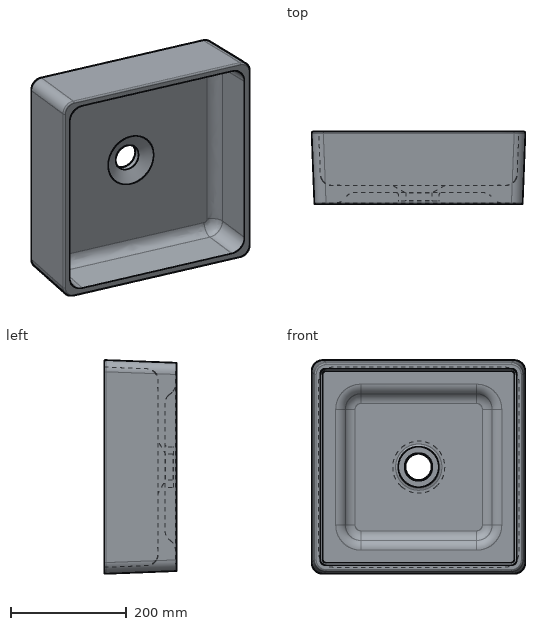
import cadquery as cq
import math


RIM_SIZE = 370.0
HEIGHT = 126.0
BASE_SIZE = 360.25
CORNER_RADIUS = 20.0
EDGE_RADIUS = 3.0

FOOT_INNER_SIZE = 340.0
FOOT_INNER_RADIUS = 10.0
BASE_RECESS_DEPTH = 3.0
BASE_RECESS_BEVEL = 4.5

FLOOR_SIZE = 220.0
FLOOR_CORNER_RADIUS = 10.0
FLOOR_Y = 21.0
WALL_RUN = 33.5

BOSS_RADIUS = 35.0
BOSS_FILLET = 5.0
BOSS_FACE_Y = 6.0
DRAIN_RADIUS = 22.5
DRAIN_CHAMFER = 1.5
DRAIN_END_Y = 20.0

SHELL_THICKNESS = 12.0
BOWL_CORNER_RADIUS = 25.0
BOWL_FLOOR_FILLET = 20.0
DRAIN_SEAT_SLOPE = 30.0

DRAFT_SLOPE = (RIM_SIZE - BASE_SIZE) / 2 / HEIGHT
BOWL_FLOOR_Y = FLOOR_Y + SHELL_THICKNESS


def plane_at(y):
    """Plane across the basin at height y, with its normal along +Y."""
    return cq.Workplane("XZ", origin=(0, y, 0)).transformed(rotate=(180, 0, 0))


def drafted_block(rim_size, bottom_y, corner_radius):
    """Square block from bottom_y up to the rim, narrowing downwards by the draft."""
    bottom_size = rim_size - 2 * (HEIGHT - bottom_y) * DRAFT_SLOPE
    block = (
        plane_at(bottom_y)
        .rect(bottom_size, bottom_size)
        .workplane(offset=HEIGHT - bottom_y)
        .rect(rim_size, rim_size)
        .loft(ruled=True)
    )
    return block.edges("not(#Y)").fillet(corner_radius)


def outer_body():
    """Drafted square body with rounded corners and rounded rim and foot edges."""
    block = drafted_block(RIM_SIZE, 0, CORNER_RADIUS)
    return block.faces("<Y or >Y").edges().fillet(EDGE_RADIUS)


def rounded_square(size, radius):
    """Flat square outline with rounded corners."""
    return cq.Sketch().rect(size, size).vertices().fillet(radius)


def base_recess():
    """Bevelled pocket that leaves the foot ring standing."""
    mouth = rounded_square(FOOT_INNER_SIZE, FOOT_INNER_RADIUS)
    end_size = FOOT_INNER_SIZE - 2 * BASE_RECESS_BEVEL
    end = rounded_square(end_size, FOOT_INNER_RADIUS - BASE_RECESS_BEVEL)
    end = end.moved(cq.Location(cq.Vector(0, 0, BASE_RECESS_DEPTH)))
    return plane_at(0).placeSketch(mouth, end).loft()


def recess_wall_section():
    """Section of the deep recess in XY, measured outwards from the centre of a rounded corner."""
    half_run = WALL_RUN / 2
    half_depth = (FLOOR_Y - BASE_RECESS_DEPTH) / 2
    arc_radius = (half_run**2 + half_depth**2) / (2 * half_depth)
    half_sweep = math.atan2(half_depth, half_run)
    arc_x = arc_radius * math.sin(half_sweep)
    arc_y = arc_radius * (1 - math.cos(half_sweep))
    inner = FLOOR_CORNER_RADIUS
    outer = inner + WALL_RUN
    middle = (inner + half_run, FLOOR_Y - half_depth)
    return (
        cq.Workplane("XY")
        .moveTo(0, BASE_RECESS_DEPTH)
        .lineTo(outer, BASE_RECESS_DEPTH)
        .threePointArc((outer - arc_x, BASE_RECESS_DEPTH + arc_y), middle)
        .threePointArc((inner + arc_x, FLOOR_Y - arc_y), (inner, FLOOR_Y))
        .lineTo(0, FLOOR_Y)
        .close()
    )


def deep_recess():
    """Square pocket: a central block, four S-shaped walls and four revolved corners."""
    core = FLOOR_SIZE / 2 - FLOOR_CORNER_RADIUS
    wall = recess_wall_section().extrude(core, both=True).translate((core, 0, 0))
    corner = recess_wall_section().revolve(90, (0, 0, 0), (0, 1, 0)).translate((core, 0, -core))
    recess = plane_at(BASE_RECESS_DEPTH).rect(2 * core, 2 * core).extrude(FLOOR_Y - BASE_RECESS_DEPTH)
    for turn in range(4):
        for piece in (wall, corner):
            recess = recess.union(piece.rotate((0, 0, 0), (0, 1, 0), 90 * turn))
    return recess.clean()


def drain_boss():
    """Boss standing down from the recess floor, with a concave fillet at its foot."""
    foot_radius = BOSS_RADIUS + BOSS_FILLET
    bend = BOSS_FILLET * math.sqrt(0.5)
    fillet_mid = (foot_radius - bend, FLOOR_Y - BOSS_FILLET + bend)
    return (
        cq.Workplane("XY")
        .moveTo(0, BOSS_FACE_Y)
        .lineTo(BOSS_RADIUS, BOSS_FACE_Y)
        .lineTo(BOSS_RADIUS, FLOOR_Y - BOSS_FILLET)
        .threePointArc(fillet_mid, (foot_radius, FLOOR_Y))
        .lineTo(0, FLOOR_Y)
        .close()
        .revolve(360, (0, 0, 0), (0, 1, 0))
    )


def drain_opening():
    """Chamfered drain hole that widens into a conical seat on the bowl side."""
    seat_rise = BOWL_FLOOR_Y - DRAIN_END_Y
    seat_radius = DRAIN_RADIUS + seat_rise / math.tan(math.radians(DRAIN_SEAT_SLOPE))
    return (
        cq.Workplane("XY")
        .moveTo(0, BOSS_FACE_Y)
        .lineTo(DRAIN_RADIUS + DRAIN_CHAMFER, BOSS_FACE_Y)
        .lineTo(DRAIN_RADIUS, BOSS_FACE_Y + DRAIN_CHAMFER)
        .lineTo(DRAIN_RADIUS, DRAIN_END_Y)
        .lineTo(seat_radius, BOWL_FLOOR_Y)
        .lineTo(0, BOWL_FLOOR_Y)
        .close()
        .revolve(360, (0, 0, 0), (0, 1, 0))
    )


def bowl():
    """Open bowl whose walls run parallel to the outer sides."""
    cavity = drafted_block(RIM_SIZE - 2 * SHELL_THICKNESS, BOWL_FLOOR_Y, BOWL_CORNER_RADIUS)
    return cavity.faces("<Y").edges().fillet(BOWL_FLOOR_FILLET)


result = (
    outer_body()
    .cut(base_recess())
    .cut(deep_recess())
    .union(drain_boss())
    .cut(bowl())
    .cut(drain_opening())
)